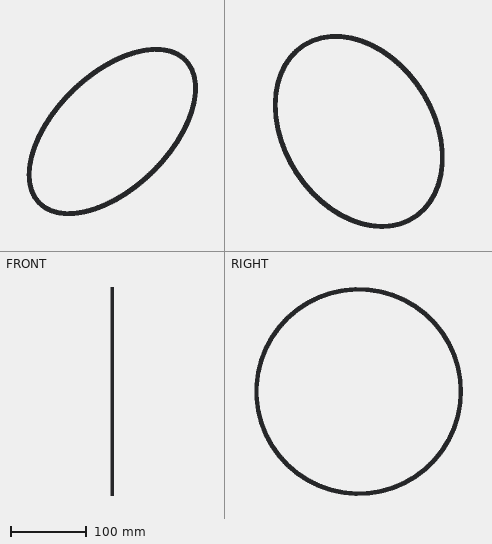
import cadquery as cq

outer_diameter = 273.15
inner_diameter = 267.37
thickness = 2.4
outer_chamfer = 0.2
inner_chamfer = 0.15


def disc(diameter):
    """Plain disc around the X axis, as thick as the ring."""
    start_face = cq.Workplane("YZ", origin=(-thickness / 2, 0, 0))
    return start_face.circle(diameter / 2).extrude(thickness)


def chamfer_rim(body):
    """Break the outer edge of both flat faces at 45 degrees."""
    return body.edges("%CIRCLE").chamfer(outer_chamfer)


def chamfer_bore(body):
    """Break the bore edge, the smallest circle, of both flat faces at 45 degrees."""
    smallest_circles = cq.selectors.RadiusNthSelector(0)
    return body.edges("%CIRCLE").edges(smallest_circles).chamfer(inner_chamfer)


rim = chamfer_rim(disc(outer_diameter))
result = chamfer_bore(rim.cut(disc(inner_diameter)))